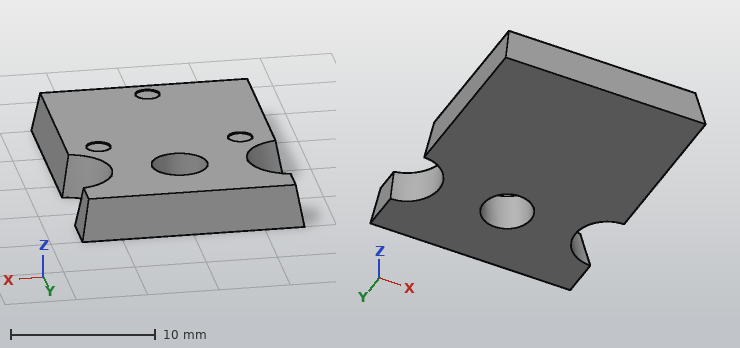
import cadquery as cq
import math

width = 15.57
length = 20.2
thickness = 2.99
draft_angle = 10.0
draft_inset = thickness * math.tan(math.radians(draft_angle))

hole_line_y = 4.59
hole_top_diameter = 3.88
hole_bottom_diameter = 3.72
notch_bottom_radius = 2.5
notch_top_radius = notch_bottom_radius + draft_inset

mark_diameter = 1.7
mark_depth = 0.1
mark_side_x = 4.97
mark_side_y = 0.53
mark_front_y = -8.05
mark_centers = [(-mark_side_x, mark_side_y), (mark_side_x, mark_side_y), (0, mark_front_y)]


def tapered_cutter(x, y, bottom_radius, top_radius):
    """Cone frustum through the full thickness, centred at (x, y)."""
    cone = cq.Solid.makeCone(bottom_radius, top_radius, thickness)
    return cq.Workplane(cone).translate((x, y, 0))


def make_plate():
    return cq.Workplane("XY").rect(width, length).extrude(thickness, taper=draft_angle)


def cut_notches(body):
    for side in (-1, 1):
        body = body.cut(tapered_cutter(side * width / 2, hole_line_y, notch_bottom_radius, notch_top_radius))
    return body


def cut_hole(body):
    return body.cut(tapered_cutter(0, hole_line_y, hole_bottom_diameter / 2, hole_top_diameter / 2))


def cut_marks(body):
    marks = (
        cq.Workplane("XY", origin=(0, 0, thickness - mark_depth))
        .pushPoints(mark_centers)
        .circle(mark_diameter / 2)
        .extrude(mark_depth)
    )
    return body.cut(marks)


result = cut_marks(cut_hole(cut_notches(make_plate())))